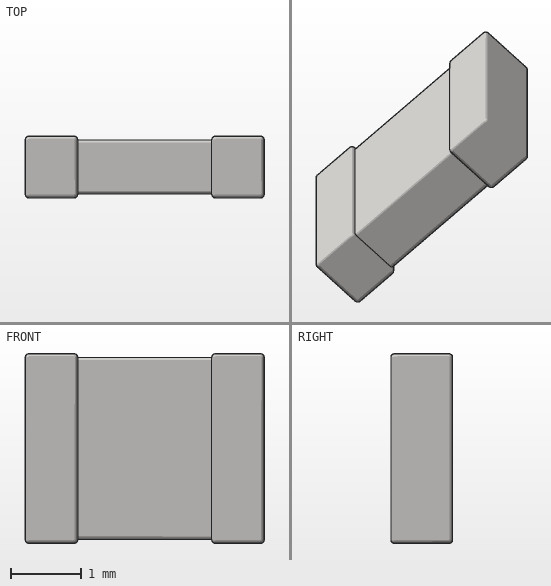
import cadquery as cq


total_length = 3.4
terminal_depth = 0.88
terminal_height = 2.7
terminal_length = 0.748
edge_radius = 0.055

block_setback = edge_radius
block_length = total_length - 2 * terminal_length
block_depth = terminal_depth - 2 * block_setback
block_height = terminal_height - 2 * block_setback

terminal_center_x = (total_length - terminal_length) / 2


def make_block():
    """Central block with flat ends and its four long edges rounded."""
    return (
        cq.Workplane("XY")
        .box(block_length, block_depth, block_height)
        .edges("|X")
        .fillet(edge_radius)
    )


def make_terminal(center_x):
    """End terminal with all of its edges rounded; the block butts against its inner face."""
    return (
        cq.Workplane("XY")
        .box(terminal_length, terminal_depth, terminal_height)
        .edges()
        .fillet(edge_radius)
        .translate((center_x, 0, 0))
    )


block = make_block()
terminals = [make_terminal(side * terminal_center_x) for side in (-1, 1)]

result = cq.Compound.makeCompound([block.val(), *[terminal.val() for terminal in terminals]])